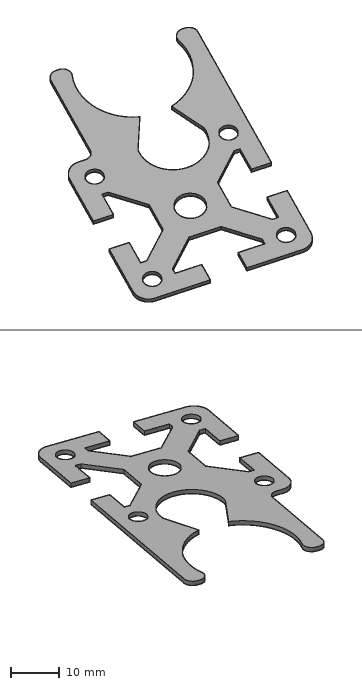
import cadquery as cq
import math

thickness = 1.0
frame_size = 40.0
half_frame = frame_size / 2
corner_radius = 3.5
centre_hole_diameter = 6.8
corner_hole_diameter = 4.0
corner_hole_spacing = 30.05

slot_opening = 8.2
slot_width = 20.1
slot_lip = 4.5
slot_floor_width = 7.2
slot_floor_distance = 7.7

overall_length = 64.5
arm_end = half_frame - overall_length
arm_bottom = -13.0
arm_fillet = 2.0
arm_axis = (half_frame + arm_bottom) / 2

outer_opening_x = -38.2
outer_opening_radius = 12.5
inner_opening_x = -17.2
inner_opening_radius = 7.5
throat_start_x = -26.2
throat_end_x = -18.2


def circle_half_height(centre_x, radius, x):
    """Half height of a circle at position x."""
    return math.sqrt(radius**2 - (x - centre_x)**2)


def make_blank():
    """Square frame plus the arm block, with the outer corners rounded."""
    frame = cq.Workplane("XY").rect(frame_size, frame_size).extrude(thickness)
    arms = (
        cq.Workplane("XY")
        .moveTo(arm_end, arm_bottom)
        .lineTo(0, arm_bottom)
        .lineTo(0, half_frame)
        .lineTo(arm_end, half_frame)
        .close()
        .extrude(thickness)
    )
    blank = frame.union(arms).clean()
    blank = blank.faces(">X or <Y").edges("|Z").fillet(corner_radius)
    step_corner = cq.selectors.NearestToPointSelector((-half_frame, arm_bottom, thickness / 2))
    return blank.edges("|Z").edges(step_corner).fillet(arm_fillet)


def make_outer_opening():
    return (
        cq.Workplane("XY")
        .center(outer_opening_x, arm_axis)
        .circle(outer_opening_radius)
        .extrude(thickness)
    )


def make_inner_opening():
    """Round opening with straight throat sides narrowing towards -X."""
    start_y = circle_half_height(outer_opening_x, outer_opening_radius, throat_start_x)
    end_y = circle_half_height(inner_opening_x, inner_opening_radius, throat_end_x)
    return (
        cq.Workplane("XY")
        .center(0, arm_axis)
        .moveTo(outer_opening_x, -start_y)
        .lineTo(throat_start_x, -start_y)
        .lineTo(throat_end_x, -end_y)
        .threePointArc((inner_opening_x + inner_opening_radius, 0), (throat_end_x, end_y))
        .lineTo(throat_start_x, start_y)
        .lineTo(outer_opening_x, start_y)
        .close()
        .extrude(thickness)
    )


def make_slot(angle):
    """T-slot opening towards +X, turned by angle about the plate centre."""
    lip_x = half_frame - slot_lip
    taper_x = slot_floor_distance + (slot_width - slot_floor_width) / 2
    upper_side = [
        (slot_floor_distance, slot_floor_width / 2),
        (taper_x, slot_width / 2),
        (lip_x, slot_width / 2),
        (lip_x, slot_opening / 2),
        (half_frame, slot_opening / 2),
    ]
    lower_side = [(x, -y) for x, y in reversed(upper_side)]
    slot = cq.Workplane("XY").polyline(upper_side + lower_side).close().extrude(thickness)
    return slot.rotate((0, 0, 0), (0, 0, 1), angle)


def make_holes():
    corners = cq.Workplane("XY").rect(corner_hole_spacing, corner_hole_spacing, forConstruction=True)
    corner_holes = corners.vertices().circle(corner_hole_diameter / 2).extrude(thickness)
    centre_hole = cq.Workplane("XY").circle(centre_hole_diameter / 2).extrude(thickness)
    return corner_holes.union(centre_hole)


plate = make_blank().cut(make_outer_opening()).cut(make_inner_opening())

plate = plate.faces("<X").edges("|Z").fillet(arm_fillet)

for slot_angle in (-90, 0, 90):
    plate = plate.cut(make_slot(slot_angle))

result = plate.cut(make_holes())